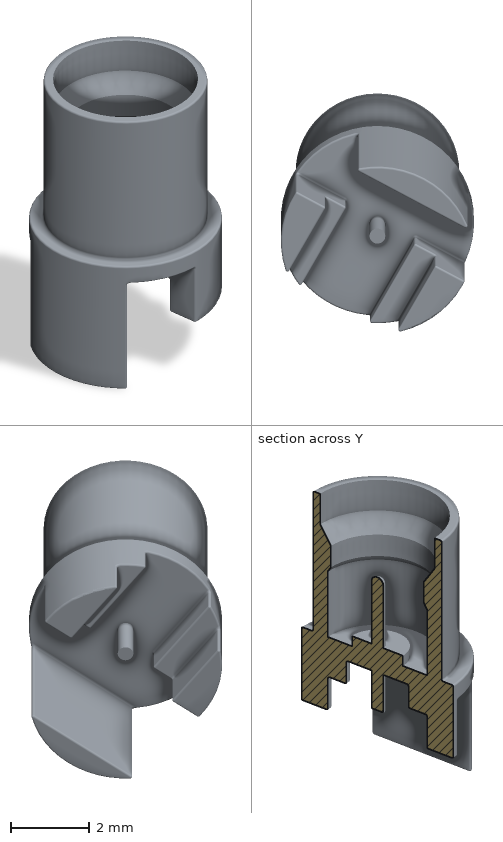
import cadquery as cq
import math

total_height = 7.8
flange_top = 3.68
flange_thickness = 0.5
flange_bottom = flange_top - flange_thickness
shoulder_bottom = 2.5
side_leg_bottom = 1.52

base_radius = 2.465
front_leg_face_y = -1.81
side_leg_face_y = -0.17
side_leg_gap = 3.2
shoulder_gap = 2.0
edge_radius = 0.05

barrel_radius = 2.09
mouth_radius = 1.85
throat_radius = 1.5
groove_radius = 1.6
taper_start_depth = 0.9
taper_end_depth = 1.41
throat_end_depth = 2.04
groove_start_depth = 2.2
socket_floor = flange_top

insulator_radius = 0.83
insulator_height = 0.3
pin_radius = 0.2
pin_tip_depth = 1.8
pin_top = total_height - pin_tip_depth
pin_bottom = 2.07

TOLERANCE = 1e-4


def block(x_size, y_min, y_max, z_min, z_max):
    """Box centred on X, placed by its Y and Z limits."""
    return (
        cq.Workplane("XY")
        .box(x_size, y_max - y_min, z_max - z_min, centered=(True, False, False))
        .translate((0, y_min, z_min))
    )


def cylinder(radius, z_min, z_max):
    return cq.Workplane("XY").workplane(offset=z_min).circle(radius).extrude(z_max - z_min)


def is_seam(edge):
    """True for the line that only closes the round outer face on itself."""
    center = edge.Center()
    is_vertical = edge.BoundingBox().zlen > TOLERANCE
    return is_vertical and abs(center.y) < TOLERANCE


def make_base():
    full_width = 2 * base_radius
    base = cylinder(base_radius, 0, flange_top)
    base = base.cut(block(full_width, front_leg_face_y, side_leg_face_y, 0, flange_bottom))
    base = base.cut(block(full_width, side_leg_face_y, base_radius, 0, side_leg_bottom))
    base = base.cut(block(side_leg_gap, side_leg_face_y, base_radius, side_leg_bottom, shoulder_bottom))
    base = base.cut(block(shoulder_gap, side_leg_face_y, base_radius, shoulder_bottom, flange_bottom))
    rounded_edges = [edge for edge in base.edges().vals() if not is_seam(edge)]
    return base.newObject(rounded_edges).fillet(edge_radius)


def make_barrel():
    """Barrel with a rounded rim and a small root fillet where it meets the flange."""
    inset = edge_radius * (1 - math.sqrt(0.5))
    return (
        cq.Workplane("XZ")
        .moveTo(0, flange_top)
        .lineTo(barrel_radius + edge_radius, flange_top)
        .threePointArc(
            (barrel_radius + inset, flange_top + inset),
            (barrel_radius, flange_top + edge_radius),
        )
        .lineTo(barrel_radius, total_height - edge_radius)
        .threePointArc(
            (barrel_radius - inset, total_height - inset),
            (barrel_radius - edge_radius, total_height),
        )
        .lineTo(0, total_height)
        .close()
        .revolve(360, (0, 0, 0), (0, 1, 0))
    )


def make_socket():
    """Socket space: wide mouth, taper to the throat, then a slightly wider snap groove."""
    return (
        cq.Workplane("XZ")
        .moveTo(0, total_height)
        .lineTo(mouth_radius, total_height)
        .lineTo(mouth_radius, total_height - taper_start_depth)
        .lineTo(throat_radius, total_height - taper_end_depth)
        .lineTo(throat_radius, total_height - throat_end_depth)
        .lineTo(groove_radius, total_height - groove_start_depth)
        .lineTo(groove_radius, socket_floor)
        .lineTo(0, socket_floor)
        .close()
        .revolve(360, (0, 0, 0), (0, 1, 0))
    )


def make_contact():
    """Insulator disc on the socket floor and the dome-tipped pin that passes through the flange."""
    insulator = cylinder(insulator_radius, socket_floor, socket_floor + insulator_height)
    pin = cylinder(pin_radius, pin_bottom, pin_top - pin_radius)
    tip = cq.Workplane("XY").sphere(pin_radius).translate((0, 0, pin_top - pin_radius))
    return insulator.union(pin).union(tip)


result = make_base().union(make_barrel()).cut(make_socket()).union(make_contact())